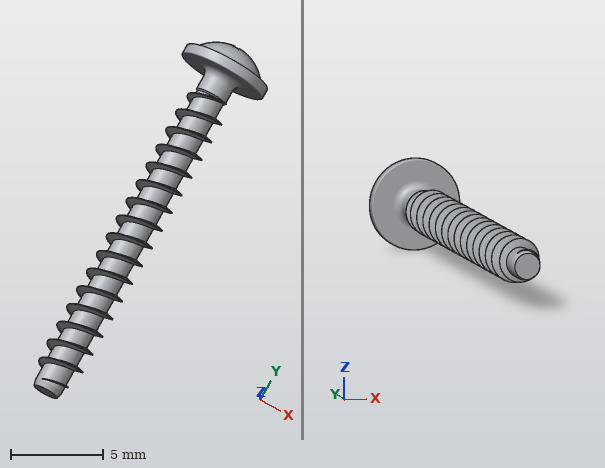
import cadquery as cq
import math

total_length = 21.77

flange_radius = 2.5
flange_height = 0.6
flange_edge_round = 0.07
dome_radius = 2.1
dome_height = 1.15
head_height = flange_height + dome_height

recess_span = 1.83
recess_width = 0.33
recess_depth = 0.87

shaft_length = total_length - head_height
shank_radius = 0.9
shank_length = 1.28
neck_fillet = 0.44
core_radius = 0.8
core_step_length = 0.09
tip_radius = 0.72
tip_length = 0.33

crest_radius = 1.26
crest_width = 0.05
flank_angle = math.radians(15)
root_overlap = 0.1
root_radius = core_radius - root_overlap
faded_height = 0.02
full_turns = 14
full_thread_start = 2.37
full_thread_end = 18.1
pitch = (full_thread_end - full_thread_start) / full_turns
full_overrun_turns = 0.25
fade_turns = 1.3
points_per_turn = 24


def make_body():
    """Revolve the head, the shank and the threaded core as one profile."""
    inner_corner_radius = recess_width / math.sqrt(2)
    centre_drop = (dome_radius**2 - inner_corner_radius**2 - dome_height**2) / (2 * dome_height)
    sphere_centre_y = flange_height - centre_drop
    sphere_radius = math.hypot(dome_radius, centre_drop)
    half_dome_angle = math.asin(dome_radius / sphere_radius) / 2
    dome_middle = (
        sphere_radius * math.sin(half_dome_angle),
        sphere_centre_y + sphere_radius * math.cos(half_dome_angle),
    )
    neck_middle_offset = neck_fillet * (1 - math.sqrt(0.5))
    profile = (
        cq.Workplane("XY")
        .moveTo(0, sphere_centre_y + sphere_radius)
        .threePointArc(dome_middle, (dome_radius, flange_height))
        .lineTo(flange_radius - flange_edge_round, flange_height)
        .radiusArc((flange_radius, flange_height - flange_edge_round), flange_edge_round)
        .lineTo(flange_radius, flange_edge_round)
        .radiusArc((flange_radius - flange_edge_round, 0), flange_edge_round)
        .lineTo(shank_radius + neck_fillet, 0)
        .threePointArc(
            (shank_radius + neck_middle_offset, -neck_middle_offset),
            (shank_radius, -neck_fillet),
        )
        .lineTo(shank_radius, -shank_length)
        .lineTo(core_radius, -shank_length - core_step_length)
        .lineTo(core_radius, tip_length - shaft_length)
        .lineTo(tip_radius, -shaft_length)
        .lineTo(0, -shaft_length)
        .close()
    )
    return profile.revolve(360, (0, 0, 0), (0, 1, 0))


def make_recess():
    """Cross-shaped pocket sunk from the top of the dome."""
    wing_height = 2 * recess_depth
    wing = cq.Workplane("XY").box(recess_span, wing_height, recess_width)
    crossed_wing = wing.rotate((0, 0, 0), (0, 1, 0), 90)
    return wing.union(crossed_wing).translate((0, head_height, 0))


def tooth_height(turn):
    """Tooth height above the buried root, fading linearly at both thread ends."""
    full_height = crest_radius - root_radius
    turns_past_full = max(-turn, turn - full_turns) - full_overrun_turns
    fade = min(max(turns_past_full / fade_turns, 0), 1)
    return full_height + (faded_height - full_height) * fade


def thread_edge(at_crest, side, first_turn, last_turn):
    """Right-handed spiral along one corner of the tooth; side is +1 or -1 along Y."""
    steps = math.ceil((last_turn - first_turn) * points_per_turn)
    points = []
    for step in range(steps + 1):
        turn = first_turn + (last_turn - first_turn) * step / steps
        height = tooth_height(turn)
        radius = root_radius
        half_width = crest_width / 2
        if at_crest:
            radius += height
        else:
            half_width += height * math.tan(flank_angle)
        angle = 2 * math.pi * turn
        y = side * half_width - full_thread_start - pitch * turn
        points.append(cq.Vector(radius * math.cos(angle), y, radius * math.sin(angle)))
    return cq.Edge.makeSpline(points)


def make_thread_section(first_turn, last_turn):
    """Stretch of tooth bounded by four spiral faces and two flat end faces."""
    corners = [
        thread_edge(False, 1, first_turn, last_turn),
        thread_edge(True, 1, first_turn, last_turn),
        thread_edge(True, -1, first_turn, last_turn),
        thread_edge(False, -1, first_turn, last_turn),
    ]
    faces = []
    for index, corner in enumerate(corners):
        faces.append(cq.Face.makeRuledSurface(corners[index - 1], corner))
    for end in (0, 1):
        outline = cq.Wire.makePolygon([corner.positionAt(end) for corner in corners], close=True)
        faces.append(cq.Face.makeFromWires(outline))
    return cq.Solid.makeSolid(cq.Shell.makeShell(faces))


def make_thread_sections():
    """Rising fade, full thread turn by turn, then falling fade."""
    full_start_turn = -full_overrun_turns
    full_end_turn = full_turns + full_overrun_turns
    breaks = [full_start_turn - fade_turns]
    turn = full_start_turn
    while turn < full_end_turn:
        breaks.append(turn)
        turn += 1
    breaks += [full_end_turn, full_end_turn + fade_turns]
    return [make_thread_section(first, last) for first, last in zip(breaks, breaks[1:])]


screw = make_body().val().fuse(*make_thread_sections())
result = cq.Workplane(obj=screw).cut(make_recess()).solids()